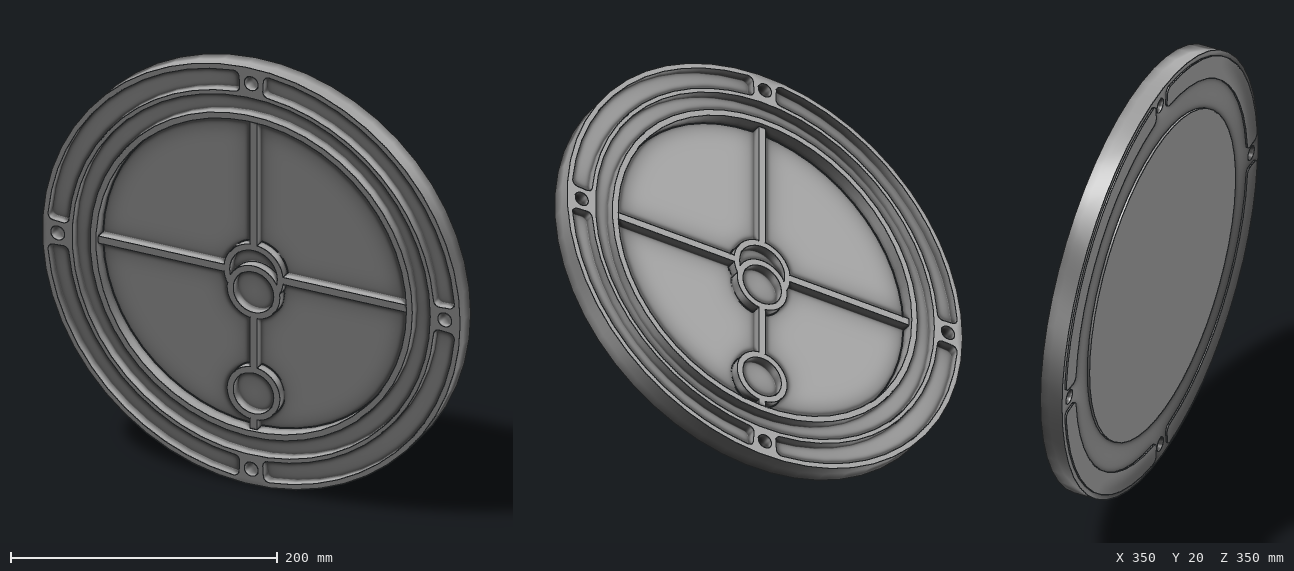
import cadquery as cq
import math

OVERALL_DEPTH = 20.0
DISC_RISE = 1.95
LAND_RISE = 1.25
RIM_BACK = OVERALL_DEPTH - DISC_RISE
LAND_BACK = RIM_BACK + LAND_RISE
GROOVE_FLOOR = 8.5
POCKET_FLOOR = 8.0
DISH_FLOOR = 12.0
BOSS_AND_RIB_FRONT = 4.0

FOOT_RADIUS = 0.5

PLATE_DIAMETER = 350.0
GROOVE_DIAMETER = 300.0
LIP_DIAMETER = 270.0
DISH_DIAMETER = 260.0

HOLE_DIAMETER = 11.5
HOLE_COUNT = 4
HOLE_SPACING = 360 / HOLE_COUNT
POCKET_OUTER_RADIUS = 170.8
POCKET_INNER_RADIUS = 153.3
POCKET_CORNER_RADIUS = 5.0
POCKET_END_ANGLE = 3.5
HOLE_CIRCLE_RADIUS = (POCKET_OUTER_RADIUS + POCKET_INNER_RADIUS) / 2

RIB_WIDTH = 6.0
CENTRE_BOSS_OUTER = 49.7
CENTRE_BOSS_INNER = 40.0
SIDE_BOSS_OUTER = 44.0
SIDE_BOSS_INNER = 34.0
SIDE_BOSS_HEIGHTS = (-15.0, -100.0)
RIB_SIZES = ((DISH_DIAMETER, RIB_WIDTH), (RIB_WIDTH, DISH_DIAMETER))


def section(depth):
    """Sketch plane parallel to the faces at a given depth, with local axes along X and Z."""
    return cq.Workplane("XZ", origin=(0, depth, 0))


def disc(diameter, front, back, height=0):
    """Solid cylinder along Y between two depths, centred on X at a given height."""
    return section(front).center(0, height).circle(diameter / 2).extrude(front - back)


def round_foot(recess):
    """Round the deepest edges of a recess volume."""
    return recess.faces(">Y").edges().fillet(FOOT_RADIUS)


def polar(radius, angle):
    """Point on a circle about the plate centre, angle in degrees."""
    return radius * math.cos(math.radians(angle)), radius * math.sin(math.radians(angle))


def arc_sector(front, back, start):
    """Rounded ring segment filling the space between two neighbouring holes."""
    first = start + POCKET_END_ANGLE
    last = start + HOLE_SPACING - POCKET_END_ANGLE
    middle = (first + last) / 2
    return (
        section(front)
        .moveTo(*polar(POCKET_INNER_RADIUS, first))
        .lineTo(*polar(POCKET_OUTER_RADIUS, first))
        .threePointArc(polar(POCKET_OUTER_RADIUS, middle), polar(POCKET_OUTER_RADIUS, last))
        .lineTo(*polar(POCKET_INNER_RADIUS, last))
        .threePointArc(polar(POCKET_INNER_RADIUS, middle), polar(POCKET_INNER_RADIUS, first))
        .close()
        .extrude(front - back)
        .edges("|Y")
        .fillet(POCKET_CORNER_RADIUS)
    )


def dish_recess():
    """Space left in the dish around the crossed ribs and the ring bosses."""
    space = disc(DISH_DIAMETER, BOSS_AND_RIB_FRONT, DISH_FLOOR)
    for size in RIB_SIZES:
        space = space.cut(section(BOSS_AND_RIB_FRONT).rect(*size).extrude(BOSS_AND_RIB_FRONT - DISH_FLOOR))
    space = space.cut(disc(CENTRE_BOSS_OUTER, BOSS_AND_RIB_FRONT, DISH_FLOOR))
    space = space.union(disc(CENTRE_BOSS_INNER, BOSS_AND_RIB_FRONT, DISH_FLOOR))
    for height in SIDE_BOSS_HEIGHTS:
        space = space.cut(disc(SIDE_BOSS_OUTER, BOSS_AND_RIB_FRONT, DISH_FLOOR, height))
        space = space.union(disc(SIDE_BOSS_INNER, BOSS_AND_RIB_FRONT, DISH_FLOOR, height))
    return round_foot(space).union(disc(DISH_DIAMETER, 0, BOSS_AND_RIB_FRONT))


plate = disc(PLATE_DIAMETER, 0, RIM_BACK)
plate = plate.union(disc(DISH_DIAMETER, RIM_BACK, OVERALL_DEPTH))

groove = disc(GROOVE_DIAMETER, 0, GROOVE_FLOOR).cut(disc(LIP_DIAMETER, 0, GROOVE_FLOOR))
plate = plate.cut(round_foot(groove))
plate = plate.cut(dish_recess())

for index in range(HOLE_COUNT):
    start_angle = index * HOLE_SPACING
    plate = plate.union(arc_sector(RIM_BACK, LAND_BACK, start_angle))
    plate = plate.cut(round_foot(arc_sector(0, POCKET_FLOOR, start_angle)))

hole_positions = [polar(HOLE_CIRCLE_RADIUS, index * HOLE_SPACING) for index in range(HOLE_COUNT)]
holes = section(0).pushPoints(hole_positions).circle(HOLE_DIAMETER / 2).extrude(-OVERALL_DEPTH)
result = plate.cut(holes)